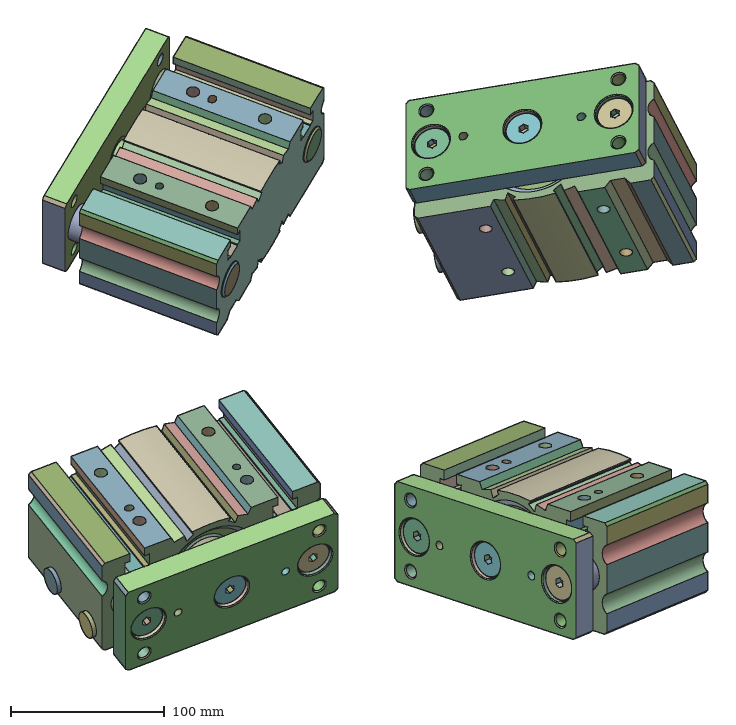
import cadquery as cq
import math

plate_thickness = 16.3
gap = 11.4
housing_length = 98.8
rod_overhang = 2.0
housing_front = plate_thickness + gap
housing_back = housing_front + housing_length

housing_width = 162.0
housing_height = 78.0
half_width = housing_width / 2
half_height = housing_height / 2
corner_chamfer = 2.0

pad_edge_y = 29.7
dome_edge_y = 27.4
dome_height = 38.3
dome_radius = 90.8
groove_inner_y = 14.2
groove_outer_y = 19.8
groove_lip_z = 36.1
groove_undercut = (13.0, 34.6)
groove_bottom = (18.0, 30.7)

slot_y = 55.0
slot_mouth = 10.9
slot_width = 18.2
slot_lip = 7.0
slot_depth = 17.0
slot_floor_groove = 1.2

channel_y = -56.5
channel_mouth = 17.3
channel_floor = 9.5
channel_depth = 4.8

flute_z = 17.2
flute_width = 13.9
flute_radius = 8.0

pad_hole_y = 40.0
pad_hole_diameter = 8.4
pad_hole_offsets = (24.1, 75.9)
locating_offset = 38.0
locating_diameter = 5.1
locating_slot_length = 6.3
locating_depth = 9.9

port_offsets = (16.7, 63.9)
port_z = -28.2
port_diameter = 18.2
port_height = 165 - housing_width

plate_width = 157.7
plate_height = 70.1
plate_chamfer_y = 2.0
plate_chamfer_z = 2.5
plate_hole_y = 65.0
plate_hole_z = 24.9
plate_hole_diameter = 8.5
plate_hole_chamfer = 0.8
plate_pin_y = pad_hole_y
plate_pin_diameter = 5.8

guide_rod_y = 61.9
guide_rod_diameter = 25.0
guide_rod_chamfer = 1.3
piston_rod_diameter = 20.0
piston_rod_depth = 49.5
head_diameter = guide_rod_diameter
head_recess = 2.6
head_chamfer = 0.8
recess_chamfer = 0.7
socket_across_flats = 6.0
socket_depth = 5.0

cover_diameter = 66.0
cover_front = housing_front + 3.6
cover_pocket_diameter = 57.1
cover_pocket_floor = housing_front + 10.2
cover_back = housing_front + 16.5
cover_boss_diameter = 35.0
cover_boss_flare = 1.3


def rod_along_x(diameter, start, end, y=0, z=0):
    return (
        cq.Workplane("YZ", origin=(start, y, z))
        .circle(diameter / 2)
        .extrude(end - start)
    )


def housing_plane():
    return cq.Workplane("YZ", origin=(housing_front, 0, 0))


def dome_z(y):
    return dome_height - dome_radius + math.sqrt(dome_radius**2 - y**2)


def dome_relief():
    """Material removed above the dome, between the two inner pads."""
    return (
        housing_plane()
        .moveTo(-pad_edge_y, half_height)
        .lineTo(-dome_edge_y, dome_z(dome_edge_y))
        .threePointArc((0, dome_height), (dome_edge_y, dome_z(dome_edge_y)))
        .lineTo(pad_edge_y, half_height)
        .close()
        .extrude(housing_length)
    )


def sensor_groove():
    """Groove on the +Y side of the dome, undercut towards the middle."""
    return (
        housing_plane()
        .polyline(
            [
                (groove_inner_y, half_height),
                (groove_inner_y, groove_lip_z),
                groove_undercut,
                groove_bottom,
                (groove_outer_y, dome_z(groove_outer_y)),
                (groove_outer_y, half_height),
            ]
        )
        .close()
        .extrude(housing_length)
    )


def housing_blank():
    """Outer block with the dome and its sensor grooves along the top and bottom."""
    blank = housing_plane().rect(housing_width, housing_height).extrude(housing_length)
    blank = blank.edges("|X").chamfer(corner_chamfer)
    groove = sensor_groove()
    top_cut = dome_relief().union(groove).union(groove.mirror("XZ"))
    return blank.cut(top_cut).cut(top_cut.mirror("XY"))


def t_slot(y):
    """Slot with an undercut, whose floor has a shallow groove as wide as the mouth."""
    lip_z = half_height - slot_lip
    floor_z = half_height - slot_depth
    groove_z = floor_z - slot_floor_groove
    mouth = housing_plane().center(y, (half_height + groove_z) / 2).rect(slot_mouth, half_height - groove_z)
    undercut = housing_plane().center(y, (lip_z + floor_z) / 2).rect(slot_width, lip_z - floor_z)
    return mouth.extrude(housing_length).union(undercut.extrude(housing_length))


def bottom_channel():
    floor_z = -half_height + channel_depth
    return (
        housing_plane()
        .polyline(
            [
                (channel_y - channel_mouth / 2, -half_height),
                (channel_y + channel_mouth / 2, -half_height),
                (channel_y + channel_floor / 2, floor_z),
                (channel_y - channel_floor / 2, floor_z),
            ]
        )
        .close()
        .extrude(housing_length)
    )


def flute(side, z):
    axis_offset = math.sqrt(flute_radius**2 - (flute_width / 2) ** 2)
    axis_y = side * (half_width + axis_offset)
    return rod_along_x(2 * flute_radius, housing_front, housing_back, axis_y, z)


def pad_holes():
    holes = cq.Workplane("XY", origin=(housing_front, 0, -half_height))
    centers = [(x, side * pad_hole_y) for x in pad_hole_offsets for side in (-1, 1)]
    return holes.pushPoints(centers).circle(pad_hole_diameter / 2).extrude(housing_height)


def locating_holes():
    floor = cq.Workplane("XY", origin=(housing_front + locating_offset, 0, half_height - locating_depth))
    hole = floor.center(0, -pad_hole_y).circle(locating_diameter / 2).extrude(locating_depth)
    slot = (
        floor.center(0, pad_hole_y)
        .slot2D(locating_slot_length, locating_diameter, 90)
        .extrude(locating_depth)
    )
    return hole.union(slot)


def port_boss(offset):
    return (
        cq.Workplane("XZ", origin=(housing_front + offset, half_width + port_height, port_z))
        .circle(port_diameter / 2)
        .extrude(2 * port_height)
    )


def make_housing():
    housing = housing_blank().cut(bottom_channel())
    for side in (-1, 1):
        housing = housing.cut(t_slot(side * slot_y))
        housing = housing.cut(
            rod_along_x(guide_rod_diameter, housing_front, housing_back, side * guide_rod_y)
        )
    for side, z in ((-1, flute_z), (-1, -flute_z), (1, flute_z)):
        housing = housing.cut(flute(side, z))
    housing = housing.cut(pad_holes()).cut(locating_holes())
    for offset in port_offsets:
        housing = housing.union(port_boss(offset))
    housing = housing.cut(
        rod_along_x(cover_diameter, housing_front, cover_back)
    )
    return housing.cut(
        rod_along_x(piston_rod_diameter, housing_front, housing_front + piston_rod_depth)
    )


def make_cover():
    cover = rod_along_x(cover_diameter, cover_front, cover_back)
    cover = cover.cut(rod_along_x(cover_pocket_diameter, cover_front, cover_pocket_floor))
    boss = rod_along_x(cover_boss_diameter, housing_front, cover_back)
    foot_radius = cover_boss_diameter / 2
    flare = (
        cq.Workplane("YZ", origin=(cover_pocket_floor, 0, 0))
        .circle(foot_radius + cover_boss_flare)
        .workplane(offset=-cover_boss_flare)
        .circle(foot_radius)
        .loft(combine=True)
    )
    cover = cover.union(boss).union(flare)
    return cover.cut(rod_along_x(piston_rod_diameter, housing_front, cover_back))


def cone_mouth(diameter, depth, y, z=0):
    """Countersink in the plate face that widens a hole by `depth` all round."""
    return (
        cq.Workplane("YZ", origin=(0, y, z))
        .circle(diameter / 2 + depth)
        .workplane(offset=depth)
        .circle(diameter / 2)
        .loft(combine=True)
    )


def make_plate():
    plate = cq.Workplane("YZ").rect(plate_width, plate_height).extrude(plate_thickness)
    plate = plate.edges("|X").chamfer(plate_chamfer_z, plate_chamfer_y)
    for y in (-plate_hole_y, plate_hole_y):
        for z in (-plate_hole_z, plate_hole_z):
            plate = plate.cut(rod_along_x(plate_hole_diameter, 0, plate_thickness, y, z))
            plate = plate.cut(cone_mouth(plate_hole_diameter, plate_hole_chamfer, y, z))
    for y in (-plate_pin_y, plate_pin_y):
        plate = plate.cut(rod_along_x(plate_pin_diameter, 0, plate_thickness, y))
    for y in (-guide_rod_y, 0, guide_rod_y):
        plate = plate.cut(rod_along_x(head_diameter, 0, plate_thickness, y))
        plate = plate.cut(cone_mouth(head_diameter, recess_chamfer, y))
    return plate


def rod_head(y):
    """Round head that fills the plate bore, with a hex socket in its recessed face."""
    head = rod_along_x(head_diameter, head_recess, plate_thickness, y)
    head = head.faces("<X").chamfer(head_chamfer)
    socket = (
        cq.Workplane("YZ", origin=(head_recess, y, 0))
        .transformed(rotate=(0, 0, 90))
        .polygon(6, socket_across_flats / math.cos(math.pi / 6))
        .extrude(socket_depth)
    )
    return head.cut(socket)


def make_guide_rod(y):
    rod = rod_along_x(guide_rod_diameter, plate_thickness, housing_back + rod_overhang, y)
    rod = rod.faces(">X").chamfer(guide_rod_chamfer)
    return rod_head(y).union(rod)


def make_piston_rod():
    rod = rod_along_x(piston_rod_diameter, plate_thickness, housing_front + piston_rod_depth)
    return rod_head(0).union(rod)


housing = make_housing()
cover = make_cover()
plate = make_plate()
piston_rod = make_piston_rod()
guide_rods = [make_guide_rod(side * guide_rod_y) for side in (-1, 1)]

result = cq.Compound.makeCompound(
    [housing.val(), cover.val(), plate.val(), piston_rod.val()] + [rod.val() for rod in guide_rods]
)